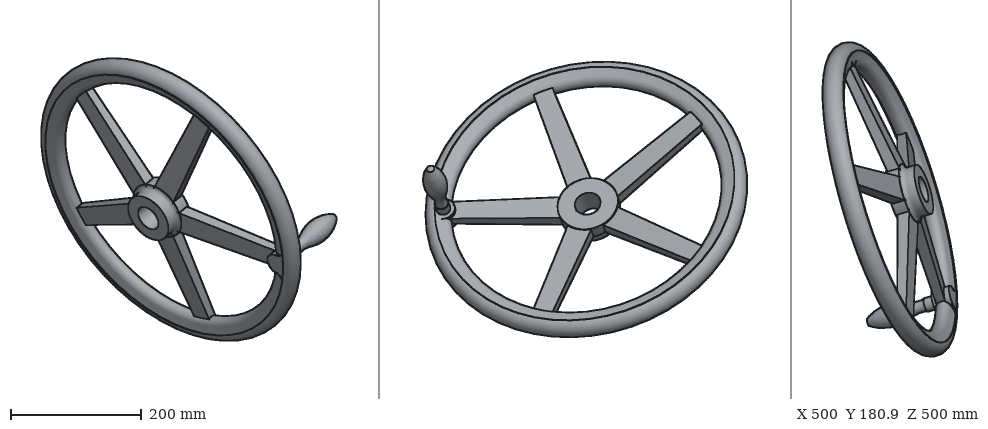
import math

import cadquery as cq


rim_outer_radius = 250.0
rim_round_radius = 17.0
rim_ridge_radius = rim_outer_radius - rim_round_radius
rim_inner_radius = 210.0
rim_flank_radius = 220.0
rim_flank_taper = math.radians(15.5)
rim_ridge_step = 1.3
rim_flank_start = rim_round_radius - rim_ridge_step
rim_flank_end = rim_flank_start - (rim_ridge_radius - rim_flank_radius) * math.tan(rim_flank_taper)

hub_front_y = -55.4
hub_back_y = -11.4
bore_diameter = 40.0
nose_diameter = 79.0
hub_diameter = 94.0
nose_fillet = (hub_diameter - nose_diameter) / 2
hub_step_y = -33.6

spoke_count = 5
spoke_slope = 0.162
spoke_start_radius = 30.0
spoke_end_radius = 215.0
spoke_start_front_y = -35.8
spoke_end_front_y = spoke_start_front_y + spoke_slope * (spoke_end_radius - spoke_start_radius)
spoke_start_thickness = 20.0
spoke_end_thickness = 14.5
spoke_start_width = 39.0
spoke_end_width = 31.0

handle_radius = 220.0
boss_radius = 18.0
boss_fillet = 12.0
boss_recess = 0.7
boss_front_y = -rim_round_radius + boss_recess
boss_back_y = 13.0

collar_diameter = 22.0
collar_end_y = 28.6
neck_base_radius = 10.2
neck_waist_radius = 9.1
neck_waist_y = 43.0
grip_start_radius = 13.0
grip_start_y = 57.2
grip_radius = 18.0
grip_middle_y = 83.0
grip_tip_radius = 6.0
grip_tip_y = 123.8
overall_depth = 180.94
handle_tip_y = hub_front_y + overall_depth


def revolve_about_wheel_axis(profile):
    return profile.close().revolve(360, (0, 0, 0), (0, 1, 0))


def make_rim():
    profile = (
        cq.Workplane("XY")
        .moveTo(rim_ridge_radius, -rim_round_radius)
        .threePointArc((rim_outer_radius, 0), (rim_ridge_radius, rim_round_radius))
        .lineTo(rim_ridge_radius, rim_flank_start)
        .lineTo(rim_flank_radius, rim_flank_end)
        .threePointArc((rim_inner_radius, 0), (rim_flank_radius, -rim_flank_end))
        .lineTo(rim_ridge_radius, -rim_flank_start)
    )
    return revolve_about_wheel_axis(profile)


def make_hub():
    bore_radius = bore_diameter / 2
    nose_radius = nose_diameter / 2
    hub_radius = hub_diameter / 2
    fillet_mid = nose_fillet * (1 - math.sqrt(0.5))
    profile = (
        cq.Workplane("XY")
        .moveTo(bore_radius, hub_front_y)
        .lineTo(nose_radius, hub_front_y)
        .lineTo(nose_radius, hub_step_y - nose_fillet)
        .threePointArc(
            (nose_radius + fillet_mid, hub_step_y - fillet_mid),
            (hub_radius, hub_step_y),
        )
        .lineTo(hub_radius, hub_back_y)
        .lineTo(bore_radius, hub_back_y)
    )
    return revolve_about_wheel_axis(profile)


def make_spoke():
    def section(radius, front_y, thickness, width):
        plane = cq.Plane(origin=(radius, front_y + thickness / 2, 0), xDir=(0, 1, 0), normal=(1, 0, 0))
        return cq.Workplane(plane).rect(thickness, width).wires().val()

    start = section(spoke_start_radius, spoke_start_front_y, spoke_start_thickness, spoke_start_width)
    end = section(spoke_end_radius, spoke_end_front_y, spoke_end_thickness, spoke_end_width)
    return cq.Workplane(cq.Solid.makeLoft([start, end], True))


def make_boss():
    fillet_z = boss_radius + boss_fillet
    fillet_reach = rim_ridge_radius - boss_fillet
    fillet_x = math.sqrt(fillet_reach**2 - fillet_z**2)
    foot_x = fillet_x * rim_ridge_radius / fillet_reach
    foot_z = fillet_z * rim_ridge_radius / fillet_reach
    mid_x = fillet_x + boss_fillet * math.sqrt(0.5)
    mid_z = fillet_z - boss_fillet * math.sqrt(0.5)
    return (
        cq.Workplane("XZ", origin=(0, boss_back_y, 0))
        .moveTo(handle_radius, boss_radius)
        .lineTo(fillet_x, boss_radius)
        .threePointArc((mid_x, mid_z), (foot_x, foot_z))
        .threePointArc((rim_ridge_radius, 0), (foot_x, -foot_z))
        .threePointArc((mid_x, -mid_z), (fillet_x, -boss_radius))
        .lineTo(handle_radius, -boss_radius)
        .threePointArc((handle_radius - boss_radius, 0), (handle_radius, boss_radius))
        .close()
        .extrude(boss_back_y - boss_front_y)
    )


def make_handle():
    collar_radius = collar_diameter / 2
    return (
        cq.Workplane("XY")
        .moveTo(0, 0)
        .lineTo(collar_radius, 0)
        .lineTo(collar_radius, collar_end_y)
        .lineTo(neck_base_radius, collar_end_y)
        .threePointArc((neck_waist_radius, neck_waist_y), (grip_start_radius, grip_start_y))
        .threePointArc((grip_radius, grip_middle_y), (grip_tip_radius, grip_tip_y))
        .lineTo(0, handle_tip_y)
        .close()
        .revolve(360, (0, 0, 0), (0, 1, 0))
        .translate((handle_radius, 0, 0))
    )


wheel = make_rim().union(make_hub())
spoke = make_spoke()
for index in range(spoke_count):
    wheel = wheel.union(spoke.rotate((0, 0, 0), (0, 1, 0), index * 360 / spoke_count))

result = wheel.union(make_boss()).union(make_handle())